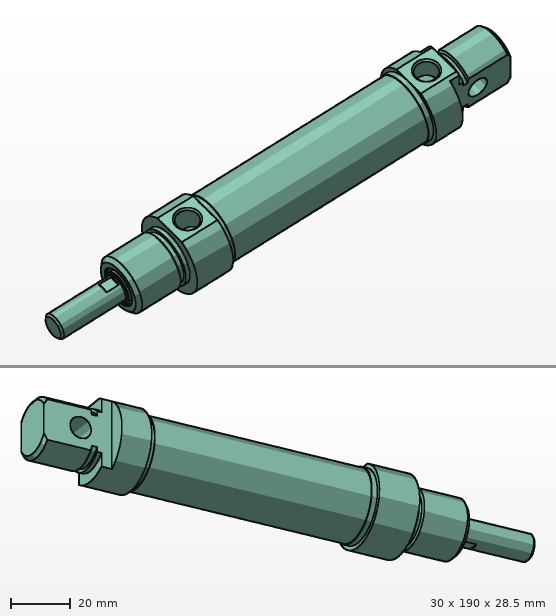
import cadquery as cq
import math

LENGTH = 190.0

ROD_FLATS_START = 21.3
ROD_FLATS_END = 26.5
WIPER_LIP_FRONT = 27.2
WIPER_FRONT = 27.7
NOSE_FRONT = 28.0
FRONT_FLANGE_START = 50.0
FLANGE_LENGTH = 15.4
REAR_FLANGE_END = LENGTH - 22.0
COLLAR_LENGTH = 2.0
FRONT_FLANGE_END = FRONT_FLANGE_START + FLANGE_LENGTH
FRONT_COLLAR_END = FRONT_FLANGE_END + COLLAR_LENGTH
REAR_FLANGE_START = REAR_FLANGE_END - FLANGE_LENGTH
REAR_COLLAR_START = REAR_FLANGE_START - COLLAR_LENGTH

FLANGE_R = 30.0 / 2
COLLAR_R = 27.0 / 2
TUBE_R = 26.5 / 2
TUBE_BORE_R = 25.0 / 2
NECK_R = 22.0 / 2
RELIEF_R = 19.8 / 2
ROD_R = 9.9 / 2

RIM_LENGTH = 1.7
RELIEF_LENGTH = 2.3
RELIEF_TAPER = 0.4

NOSE_CHAMFER = 1.5
TAIL_CHAMFER = 1.3
ROD_CHAMFER = 0.8

WIPER_RECESS_R = 14.0 / 2
WIPER_RECESS_DEPTH = 1.0
WIPER_MOUTH_CHAMFER = 0.4
WIPER_R = 12.0 / 2
WIPER_LIP_R = 10.5 / 2

PORT_FLAT_Z = COLLAR_R
PORT_R = 8.5 / 2
PORT_MOUTH_R = 9.9 / 2
PORT_MOUTH_DEPTH = PORT_MOUTH_R - PORT_R
REAR_PORT_DEPTH = 8.0
DRILL_POINT_ANGLE = 118.0

TAIL_WIDTH = 16.0
TAIL_FLATS_LENGTH = 26.0
PIVOT_R = 8.0 / 2
PIVOT_FROM_END = 14.0

ROD_ACROSS_FLATS = 9.0


def revolve_profile(points):
    """Turn (radius, y) points, closed along the axis, about the Y axis."""
    return cq.Workplane("XY").polyline(points).close().revolve(360, (0, 0, 0), (0, 1, 0))


def cylinder(radius, start, end):
    """Solid cylinder on the Y axis."""
    return revolve_profile([(0, start), (radius, start), (radius, end), (0, end)])


def cap_blank(flange_face, neck_end, collar_end, chamfer):
    """Collar, flange, relief groove and chamfered neck; works in either Y direction."""
    out = math.copysign(1, neck_end - flange_face)
    flange_back = flange_face - out * FLANGE_LENGTH
    rim_end = flange_face + out * RIM_LENGTH
    relief_end = rim_end + out * RELIEF_LENGTH
    return revolve_profile([
        (0, collar_end),
        (COLLAR_R, collar_end),
        (COLLAR_R, flange_back),
        (FLANGE_R, flange_back),
        (FLANGE_R, flange_face),
        (NECK_R, flange_face),
        (NECK_R, rim_end),
        (RELIEF_R, rim_end),
        (RELIEF_R, relief_end - out * RELIEF_TAPER),
        (NECK_R, relief_end),
        (NECK_R, neck_end - out * chamfer),
        (NECK_R - chamfer, neck_end),
        (0, neck_end),
    ])


def cut_port_flat(cap, flange_start):
    """Mill the flat on top of a flange."""
    height = FLANGE_R - PORT_FLAT_Z
    cutter = cq.Workplane("XY").box(2 * FLANGE_R, FLANGE_LENGTH, height, centered=(True, False, False))
    return cap.cut(cutter.translate((0, flange_start, PORT_FLAT_Z)))


def port_drill(y, depth):
    """Port cutter: countersunk mouth, straight wall and conical drill point."""
    floor_z = PORT_FLAT_Z - depth
    point_depth = PORT_R / math.tan(math.radians(DRILL_POINT_ANGLE / 2))
    profile = [
        (0, PORT_FLAT_Z),
        (PORT_MOUTH_R, PORT_FLAT_Z),
        (PORT_R, PORT_FLAT_Z - PORT_MOUTH_DEPTH),
        (PORT_R, floor_z),
        (0, floor_z - point_depth),
    ]
    drill = cq.Workplane("XZ").polyline(profile).close().revolve(360, (0, 0, 0), (0, 1, 0))
    return drill.translate((0, y, 0))


def make_front_cap():
    cap = cap_blank(FRONT_FLANGE_START, NOSE_FRONT, FRONT_COLLAR_END, NOSE_CHAMFER)
    cap = cut_port_flat(cap, FRONT_FLANGE_START)
    recess_floor = NOSE_FRONT + WIPER_RECESS_DEPTH
    cap = cap.cut(revolve_profile([
        (0, NOSE_FRONT),
        (WIPER_RECESS_R + WIPER_MOUTH_CHAMFER, NOSE_FRONT),
        (WIPER_RECESS_R, NOSE_FRONT + WIPER_MOUTH_CHAMFER),
        (WIPER_RECESS_R, recess_floor),
        (0, recess_floor),
    ]))
    cap = cap.union(cylinder(WIPER_R, WIPER_FRONT, recess_floor))
    cap = cap.union(cylinder(WIPER_LIP_R, WIPER_LIP_FRONT, recess_floor))
    cap = cap.cut(cylinder(ROD_R, WIPER_LIP_FRONT, FRONT_COLLAR_END))
    port_y = FRONT_FLANGE_START + FLANGE_LENGTH / 2
    return cap.cut(port_drill(port_y, PORT_FLAT_Z))


def make_rear_cap():
    cap = cap_blank(REAR_FLANGE_END, LENGTH, REAR_COLLAR_START, TAIL_CHAMFER)
    cap = cut_port_flat(cap, REAR_FLANGE_START)
    cap = cap.cut(port_drill(REAR_FLANGE_START + FLANGE_LENGTH / 2, REAR_PORT_DEPTH))
    side_depth = FLANGE_R - TAIL_WIDTH / 2
    for side in (-1, 1):
        cutter = cq.Workplane("XY").box(side_depth, TAIL_FLATS_LENGTH, 2 * FLANGE_R)
        side_x = side * (TAIL_WIDTH / 2 + side_depth / 2)
        cap = cap.cut(cutter.translate((side_x, LENGTH - TAIL_FLATS_LENGTH / 2, 0)))
    pivot = cq.Workplane("YZ").center(LENGTH - PIVOT_FROM_END, 0).circle(PIVOT_R)
    return cap.cut(pivot.extrude(TAIL_WIDTH, both=True))


def make_tube():
    outer = cylinder(TUBE_R, FRONT_COLLAR_END, REAR_COLLAR_START)
    return outer.cut(cylinder(TUBE_BORE_R, FRONT_COLLAR_END, REAR_COLLAR_START))


def make_rod():
    rod = cylinder(ROD_R, 0, FRONT_COLLAR_END).faces("<Y").chamfer(ROD_CHAMFER)
    flat_length = ROD_FLATS_END - ROD_FLATS_START
    flat_depth = ROD_R - ROD_ACROSS_FLATS / 2
    for side in (-1, 1):
        cutter = cq.Workplane("XY").box(2 * ROD_R, flat_length, flat_depth)
        flat_z = side * (ROD_ACROSS_FLATS / 2 + flat_depth / 2)
        rod = rod.cut(cutter.translate((0, ROD_FLATS_START + flat_length / 2, flat_z)))
    return rod


front_cap = make_front_cap()
rear_cap = make_rear_cap()
tube = make_tube()
rod = make_rod()

result = cq.Compound.makeCompound([front_cap.val(), rear_cap.val(), tube.val(), rod.val()])